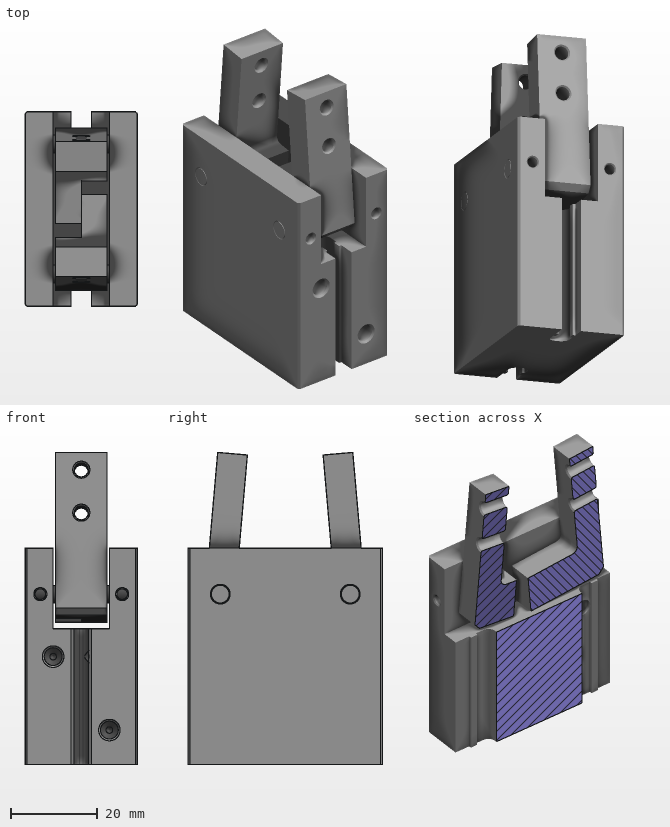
import cadquery as cq
import math

housing_width = 26.0
housing_depth = 45.0
housing_height = 50.0
corner_chamfer = 0.5
fork_gap = 13.0
fork_floor = 31.5

slot_width = 4.7
slot_depth = 10.0
slot_corner_diameter = 4.0
lip_height = 0.65
lip_start = 4.0
lip_end = 5.9
lip_rounding = 0.2

cross_hole_diameter = 4.1
cross_hole_depth = 7.95
cross_hole_reach = 3.25

port_x = 6.5
upper_port_z = 25.0
lower_port_z = 8.0
port_diameter = 4.1
port_mouth_diameter = 5.0
port_depth = 5.8
drill_point_angle = 118.0
passage_diameter = 1.5
passage_length = 2.9

pivot_y = 15.0
pivot_z = 39.4
pivot_diameter = 4.1
pivot_mouth_chamfer = 0.2
set_screw_x = 9.45
set_screw_diameter = 2.45
set_screw_mouth_diameter = 3.0

finger_tilt = 5.0
finger_width = 12.0
finger_half_thickness = 3.5
overall_height = 72.2
finger_bottom = -5.0
heel_chamfer = 1.5
lever_top = -finger_bottom
lever_fillet = 1.5
short_lever_end = 8.1
long_lever_end = 18.0
tip_hole_count = 2
tip_hole_inset = 4.05
tip_hole_spacing = 9.95
tip_hole_diameter = 3.25
tip_hole_mouth_diameter = 4.0

tilt = math.radians(finger_tilt)
finger_top = (
    overall_height - pivot_z - finger_half_thickness * math.sin(tilt)
) / math.cos(tilt)


def half_turn(shape):
    """The given part or cutter turned half a turn about the vertical axis."""
    return shape.rotate((0, 0, 0), (0, 0, 1), 180)


def turned_hole(profile, x, y, z):
    """Solid of revolution about +Y from (radius, depth) points, its mouth at (x, y, z)."""
    return (
        cq.Workplane("XY")
        .polyline(profile).close()
        .revolve(360, (0, 0, 0), (0, 1, 0))
        .translate((x, y, z))
    )


def port(x, z):
    """Countersunk blind port and a narrower passage, each ending in a drill point."""
    radius = port_diameter / 2
    mouth_radius = port_mouth_diameter / 2
    passage_radius = passage_diameter / 2
    point_slope = math.tan(math.radians(drill_point_angle / 2))
    passage_start = port_depth + (radius - passage_radius) / point_slope
    passage_end = passage_start + passage_length
    profile = [
        (0, 0),
        (mouth_radius, 0),
        (radius, mouth_radius - radius),
        (radius, port_depth),
        (passage_radius, passage_start),
        (passage_radius, passage_end),
        (0, passage_end + passage_radius / point_slope),
    ]
    return turned_hole(profile, x, -housing_depth / 2, z)


def set_screw_hole(x):
    """Countersunk hole that runs from the front face to the pivot axis."""
    radius = set_screw_diameter / 2
    mouth_radius = set_screw_mouth_diameter / 2
    depth = housing_depth / 2 - pivot_y
    profile = [
        (0, 0),
        (mouth_radius, 0),
        (radius, mouth_radius - radius),
        (radius, depth),
        (0, depth),
    ]
    return turned_hole(profile, x, -housing_depth / 2, pivot_z)


def sensor_slot():
    """Round-bottomed vertical slot narrowed by a lip on each side."""
    slot = (
        cq.Workplane("XY")
        .box(slot_width, slot_depth, fork_floor, centered=(True, False, False))
        .faces(">Y").edges("|Z").fillet(slot_corner_diameter / 2)
    )
    for side in (-1, 1):
        lip = (
            cq.Workplane("XY")
            .box(lip_height, lip_end - lip_start, fork_floor, centered=(True, False, False))
            .faces(">X" if side < 0 else "<X").edges("|Z").fillet(lip_rounding)
            .translate((side * (slot_width - lip_height) / 2, lip_start, 0))
        )
        slot = slot.cut(lip)
    return slot.translate((0, -housing_depth / 2, 0))


def cross_hole():
    """Blind hole along +X from the slot centre plane, level with the upper port."""
    hole_y = -housing_depth / 2 + cross_hole_depth
    return (
        cq.Workplane("YZ")
        .center(hole_y, upper_port_z)
        .circle(cross_hole_diameter / 2)
        .extrude(cross_hole_reach)
    )


def pivot_bore():
    """Bore along X through both fork walls, countersunk at its outer mouths."""
    radius = pivot_diameter / 2
    mouth_radius = radius + pivot_mouth_chamfer
    outer_x = housing_width / 2
    inner_x = outer_x - pivot_mouth_chamfer
    return (
        cq.Workplane("XY")
        .moveTo(-outer_x, 0)
        .lineTo(-outer_x, mouth_radius)
        .lineTo(-inner_x, radius)
        .lineTo(inner_x, radius)
        .lineTo(outer_x, mouth_radius)
        .lineTo(outer_x, 0)
        .close()
        .revolve(360, (0, 0, 0), (1, 0, 0))
        .translate((0, -pivot_y, pivot_z))
    )


def make_housing():
    """Forked block with slots and bores on both ends and ports on the front only."""
    body = (
        cq.Workplane("XY")
        .box(housing_width, housing_depth, housing_height, centered=(True, True, False))
        .edges("|Z").chamfer(corner_chamfer)
    )
    channel = (
        cq.Workplane("XY", origin=(0, 0, fork_floor))
        .box(fork_gap, housing_depth, housing_height - fork_floor, centered=(True, True, False))
    )
    body = body.cut(channel)
    paired_cuts = [
        sensor_slot(),
        set_screw_hole(-set_screw_x),
        set_screw_hole(set_screw_x),
        pivot_bore(),
    ]
    for cut in paired_cuts:
        body = body.cut(cut).cut(half_turn(cut))
    front_cuts = [
        cross_hole(),
        port(-port_x, upper_port_z),
        port(port_x, lower_port_z),
    ]
    for cut in front_cuts:
        body = body.cut(cut)
    return body


def long_lever():
    """Bar along the +X half of the finger foot, longer than the other half."""
    return (
        cq.Workplane("XY")
        .box(finger_width / 2, long_lever_end, lever_top - finger_bottom, centered=False)
        .translate((0, 0, finger_bottom))
    )


def tip_hole(z):
    """Hole through the finger thickness, countersunk on both faces."""
    radius = tip_hole_diameter / 2
    mouth_radius = tip_hole_mouth_diameter / 2
    straight_half = finger_half_thickness - (mouth_radius - radius)
    profile = [
        (0, -finger_half_thickness),
        (mouth_radius, -finger_half_thickness),
        (radius, -straight_half),
        (radius, straight_half),
        (mouth_radius, finger_half_thickness),
        (0, finger_half_thickness),
    ]
    return turned_hole(profile, 0, 0, z)


def make_finger():
    """Finger on the -Y pivot, leaning inward, with its trunnion pin."""
    inner = finger_half_thickness
    profile = (
        cq.Workplane("YZ")
        .moveTo(-inner, finger_top)
        .lineTo(-inner, finger_bottom + heel_chamfer)
        .lineTo(-inner + heel_chamfer, finger_bottom)
        .lineTo(short_lever_end, finger_bottom)
        .lineTo(short_lever_end, lever_top)
        .lineTo(inner + lever_fillet, lever_top)
        .radiusArc((inner, lever_top + lever_fillet), lever_fillet)
        .lineTo(inner, finger_top)
        .close()
    )
    finger = profile.extrude(finger_width / 2, both=True)
    finger = finger.union(long_lever())
    for index in range(tip_hole_count):
        hole_z = finger_top - tip_hole_inset - index * tip_hole_spacing
        finger = finger.cut(tip_hole(hole_z))

    pin = cq.Workplane("YZ").circle(pivot_diameter / 2).extrude(housing_width / 2, both=True)
    finger = finger.union(pin)
    return finger.rotate((0, 0, 0), (1, 0, 0), -finger_tilt).translate((0, -pivot_y, pivot_z))


housing = make_housing()
front_finger = make_finger()
fingers = [finger.val() for finger in (front_finger, half_turn(front_finger))]

result = cq.Compound.makeCompound([housing.val(), *fingers])